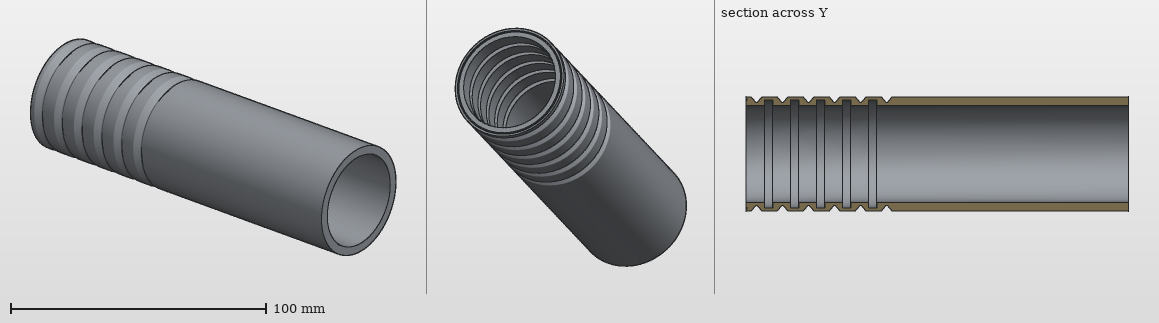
import cadquery as cq
import math

length = 150.0
outer_diameter = 45.0
bore_diameter = 38.0

groove_count = 6
first_groove = 4.2
groove_pitch = 10.2
groove_depth = 2.2
flank_angle = math.radians(50)
bend_radius = 0.5

recess_diameter = 42.2
recess_width = 3.2
first_recess = 7.4
recess_count = groove_count - 1

face_groove_inner_diameter = 42.2
face_groove_outer_diameter = 43.0
face_groove_depth = 0.5

outer_radius = outer_diameter / 2


def ring(start, width, outside_diameter, inside_diameter):
    """Ring around the X axis that starts at the given X position."""
    return (
        cq.Workplane("YZ", origin=(start, 0, 0))
        .circle(outside_diameter / 2)
        .circle(inside_diameter / 2)
        .extrude(width)
    )


def grooved_bar():
    """Solid bar along X with rounded V grooves cut into its outside."""
    bend_drop = bend_radius * (1 - math.cos(flank_angle))
    bend_half = bend_radius * math.sin(flank_angle)
    root_radius = outer_radius - groove_depth

    flank_top = outer_radius - bend_drop
    flank_bottom = root_radius + bend_drop
    flank_half = bend_half + (flank_top - flank_bottom) / math.tan(flank_angle)
    groove_half = flank_half + bend_half

    mid_offset = groove_half - bend_radius * math.sin(flank_angle / 2)
    mid_height = outer_radius - bend_radius * (1 - math.cos(flank_angle / 2))

    profile = cq.Workplane("XY").moveTo(0, 0).lineTo(0, outer_radius)
    for index in range(groove_count):
        center = first_groove + index * groove_pitch
        profile = (
            profile.lineTo(center - groove_half, outer_radius)
            .threePointArc((center - mid_offset, mid_height), (center - flank_half, flank_top))
            .lineTo(center - bend_half, flank_bottom)
            .threePointArc((center, root_radius), (center + bend_half, flank_bottom))
            .lineTo(center + flank_half, flank_top)
            .threePointArc((center + mid_offset, mid_height), (center + groove_half, outer_radius))
        )
    profile = profile.lineTo(length, outer_radius).lineTo(length, 0).close()
    return profile.revolve(360, (0, 0, 0), (1, 0, 0))


bore = cq.Workplane("YZ").circle(bore_diameter / 2).extrude(length)
result = grooved_bar().cut(bore)

for index in range(recess_count):
    recess_start = first_recess + index * groove_pitch
    result = result.cut(ring(recess_start, recess_width, recess_diameter, bore_diameter))

face_groove = ring(0, face_groove_depth, face_groove_outer_diameter, face_groove_inner_diameter)
result = result.cut(face_groove)